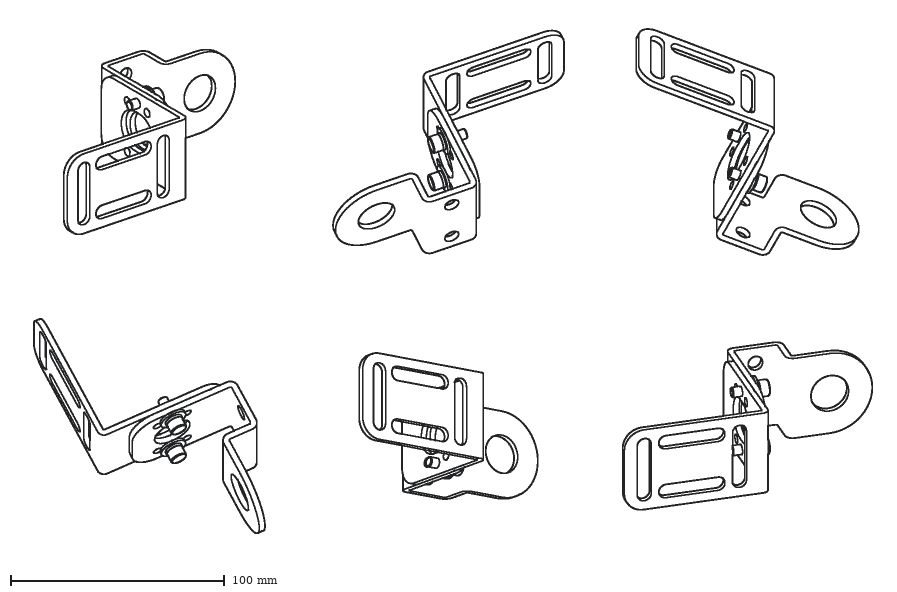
import cadquery as cq
import math


strip_width = 41.7
bolt_circle_radius = 15.2
open_hole_angle = 30
open_hole_dia = 4.3
bore_dia = 18.4

front_thickness = 2.9
front_inner_radius = 0.4
front_left_x = -27.7
front_right_x = 35.8
front_end_y = -71.2
front_corner_radius = 9.5
window_length = 24.4
window_height = 20.5
slot_width = 6.9
slot_length = 32.4
slot_group_y = -38.1
upright_slot_offset = 23.3

rear_thickness = 3.0
rear_inner_radius = 0.8
rear_left_x = -33.6
rear_right_x = 20.8
rear_corner_radius = 12.9
rear_step_y = 27.3
ear_right_x = -14.5
ear_end_y = 66.0
web_hole_dia = 7.0
web_hole_y = 13.7

screw_dia = 4.8
screw_tip_y = -7.5
screw_edge_chamfer = 0.4
head_dia = 8.0
head_height = 4.8
lock_washer_dia = 8.4
lock_washer_thickness = 1.2
flat_washer_dia = 12.8
flat_washer_thickness = 1.2

side_hole_z = (slot_length - slot_width) / 2
ear_radius = strip_width / 2
flat_washer_y = rear_thickness
lock_washer_y = flat_washer_y + flat_washer_thickness
head_y = lock_washer_y + lock_washer_thickness


def cylinder_along_y(diameter, start_y, length, x=0, z=0):
    """Solid cylinder that runs from start_y toward +Y."""
    return cq.Workplane(cq.Solid.makeCylinder(
        diameter / 2, length, cq.Vector(x, start_y, z), cq.Vector(0, 1, 0)))


screw_points = [(0, bolt_circle_radius), (0, -bolt_circle_radius)]
open_hole_x = bolt_circle_radius * math.sin(math.radians(open_hole_angle))
open_hole_z = bolt_circle_radius * math.cos(math.radians(open_hole_angle))
open_hole_points = [(x, z) for x in (-open_hole_x, open_hole_x) for z in (-open_hole_z, open_hole_z)]


def drill_bolt_circle(bracket, start_y, depth):
    """Cut the open holes and the fitted screw holes through a bracket."""
    for points, diameter in ((open_hole_points, open_hole_dia), (screw_points, screw_dia)):
        for x, z in points:
            bracket = bracket.cut(cylinder_along_y(diameter, start_y, depth, x, z))
    return bracket


def bent_sheet(outline):
    """Extrude a sheet profile drawn in X and Y, centred on Z = 0."""
    return cq.Workplane("XY").polyline(outline).close().extrude(strip_width / 2, both=True)


def round_bend(sheet, inner_corner, outer_corner, inner_radius, thickness):
    """Round both upright edges of one bend about a common centre."""
    for (x, y), radius in ((inner_corner, inner_radius), (outer_corner, inner_radius + thickness)):
        edge = cq.selectors.NearestToPointSelector((x, y, 0))
        sheet = sheet.edges("|Z").edges(edge).fillet(radius)
    return sheet


def make_front_bracket():
    leg_x = front_right_x - front_thickness
    bracket = bent_sheet([
        (front_left_x, 0),
        (front_right_x, 0),
        (front_right_x, front_end_y),
        (leg_x, front_end_y),
        (leg_x, -front_thickness),
        (front_left_x, -front_thickness),
    ])
    bracket = round_bend(
        bracket, (leg_x, -front_thickness), (front_right_x, 0), front_inner_radius, front_thickness)

    bracket = bracket.faces("<X").edges("|Y").fillet(front_corner_radius)
    bracket = bracket.faces("<Y").edges("|X").fillet(front_corner_radius)

    window = (cq.Workplane("XZ").slot2D(window_length, window_height)
              .extrude(front_thickness))
    bracket = bracket.cut(window)
    bracket = drill_bolt_circle(bracket, -front_thickness, front_thickness)

    leg_plane = cq.Workplane("YZ", origin=(leg_x, slot_group_y, 0))
    lengthwise = (leg_plane.pushPoints([(0, side_hole_z), (0, -side_hole_z)])
                  .slot2D(slot_length, slot_width).extrude(front_thickness))
    upright = (leg_plane.pushPoints([(upright_slot_offset, 0), (-upright_slot_offset, 0)])
               .slot2D(slot_length, slot_width, 90).extrude(front_thickness))
    return bracket.cut(lengthwise).cut(upright)


def make_rear_bracket():
    web_x = rear_left_x + rear_thickness
    ear_x = ear_right_x - rear_thickness
    step_y = rear_step_y - rear_thickness
    bracket = bent_sheet([
        (rear_right_x, 0),
        (rear_left_x, 0),
        (rear_left_x, rear_step_y),
        (ear_x, rear_step_y),
        (ear_x, ear_end_y),
        (ear_right_x, ear_end_y),
        (ear_right_x, step_y),
        (web_x, step_y),
        (web_x, rear_thickness),
        (rear_right_x, rear_thickness),
    ])
    bends = [
        ((web_x, rear_thickness), (rear_left_x, 0)),
        ((web_x, step_y), (rear_left_x, rear_step_y)),
        ((ear_x, rear_step_y), (ear_right_x, step_y)),
    ]
    for inner_corner, outer_corner in bends:
        bracket = round_bend(bracket, inner_corner, outer_corner, rear_inner_radius, rear_thickness)

    bracket = bracket.faces(">X").edges("|Y").fillet(rear_corner_radius)
    bracket = bracket.cut(cylinder_along_y(bore_dia, 0, rear_thickness))
    bracket = drill_bolt_circle(bracket, 0, rear_thickness)

    web_holes = (cq.Workplane("YZ", origin=(rear_left_x, web_hole_y, 0))
                 .pushPoints([(0, side_hole_z), (0, -side_hole_z)])
                 .circle(web_hole_dia / 2).extrude(rear_thickness))
    bracket = bracket.cut(web_holes)

    ear_centre_y = ear_end_y - ear_radius
    ear_plane = cq.Workplane("YZ", origin=(ear_x, ear_centre_y, 0))
    ear_tip = (ear_plane.center(ear_radius / 2, 0).rect(ear_radius, strip_width)
               .extrude(rear_thickness))
    ear_round = ear_plane.circle(ear_radius).extrude(rear_thickness)
    ear_bore = ear_plane.circle(bore_dia / 2).extrude(rear_thickness)
    return bracket.cut(ear_tip.cut(ear_round)).cut(ear_bore)


def make_screw(x, z):
    shank = cylinder_along_y(screw_dia, screw_tip_y, head_y - screw_tip_y, x, z)
    shank = shank.faces("<Y").chamfer(screw_edge_chamfer)
    head = cylinder_along_y(head_dia, head_y, head_height, x, z)
    head = head.faces(">Y").chamfer(screw_edge_chamfer)
    return shank.union(head)


def make_washer(diameter, thickness, start_y, x, z):
    """Flat ring that fits closely around the screw shank."""
    ring = cylinder_along_y(diameter, start_y, thickness, x, z)
    return ring.cut(cylinder_along_y(screw_dia, start_y, thickness, x, z))


front_bracket = make_front_bracket()
rear_bracket = make_rear_bracket()

fasteners = []
for screw_x, screw_z in screw_points:
    screw = make_screw(screw_x, screw_z)
    lock_washer = make_washer(
        lock_washer_dia, lock_washer_thickness, lock_washer_y, screw_x, screw_z)
    flat_washer = make_washer(
        flat_washer_dia, flat_washer_thickness, flat_washer_y, screw_x, screw_z)
    fasteners += [screw.val(), lock_washer.val(), flat_washer.val()]

result = cq.Compound.makeCompound([front_bracket.val(), rear_bracket.val(), *fasteners])